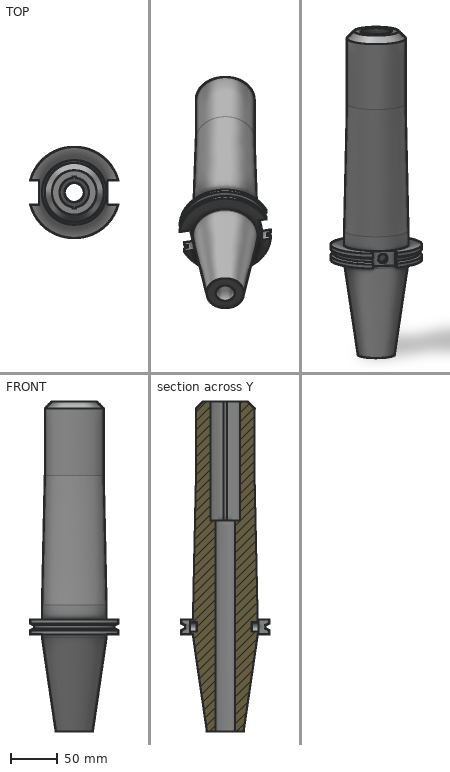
import cadquery as cq

total_height = 355.5
gauge_level = 101.7
flange_bottom = 104.5
flange_top = 121.0
collar_top = 136.5
nose_start = 276.0

taper_ratio = 7 / 24
gauge_diameter = 69.7
small_end_diameter = gauge_diameter - taper_ratio * gauge_level
flange_diameter = 98.5
nose_diameter = 63.5
nose_chamfer = 8.0

groove_center = (flange_bottom + flange_top) / 2
groove_mouth = 7.5
groove_floor = 3.5
groove_depth = 4.0

slot_width = 26.3
left_slot_floor = 38.0
right_slot_floor = 36.0
drive_hole_diameter = 10.0
drive_hole_depth = 7.0

through_bore_diameter = 20.5
tool_bore_diameter = 31.5
tool_bore_depth = 128.0
bore_groove_width = 4.3
bore_groove_span = 34.0


def make_body():
    """Taper shank, flange and holder nose as one turned solid."""
    gauge_radius = gauge_diameter / 2
    flange_radius = flange_diameter / 2
    nose_radius = nose_diameter / 2
    groove_radius = flange_radius - groove_depth
    profile = [
        (0, 0),
        (small_end_diameter / 2, 0),
        (gauge_radius, gauge_level),
        (gauge_radius, flange_bottom),
        (flange_radius, flange_bottom),
        (flange_radius, groove_center - groove_mouth / 2),
        (groove_radius, groove_center - groove_floor / 2),
        (groove_radius, groove_center + groove_floor / 2),
        (flange_radius, groove_center + groove_mouth / 2),
        (flange_radius, flange_top),
        (gauge_radius, flange_top),
        (gauge_radius, collar_top),
        (nose_radius, nose_start),
        (nose_radius, total_height - nose_chamfer),
        (nose_radius - nose_chamfer, total_height),
        (0, total_height),
    ]
    return cq.Workplane("XZ").polyline(profile).close().revolve(360, (0, 0), (0, 1))


def make_drive_slot(side, floor_distance):
    """Cutter for the slot and hole on the +X (side = 1) or -X (side = -1) face."""
    slot_length = flange_diameter / 2
    slot = cq.Workplane("XY").box(slot_length, slot_width, flange_top - flange_bottom)
    slot = slot.translate((side * (floor_distance + slot_length / 2), 0, groove_center))
    hole = cq.Workplane(
        cq.Plane((side * floor_distance, 0, groove_center), (0, 1, 0), (-side, 0, 0))
    )
    return slot.union(hole.circle(drive_hole_diameter / 2).extrude(drive_hole_depth))


def make_bores():
    """Through bore plus the wider tool bore with its two opposite grooves."""
    through_bore = cq.Workplane("XY").circle(through_bore_diameter / 2).extrude(total_height)
    bore_floor = cq.Workplane("XY").workplane(offset=total_height - tool_bore_depth)
    tool_bore = bore_floor.circle(tool_bore_diameter / 2).extrude(tool_bore_depth)
    grooves = bore_floor.rect(bore_groove_width, bore_groove_span).extrude(tool_bore_depth)
    return through_bore.union(tool_bore).union(grooves)


result = make_body().cut(make_bores())
for side, floor_distance in ((-1, left_slot_floor), (1, right_slot_floor)):
    result = result.cut(make_drive_slot(side, floor_distance))